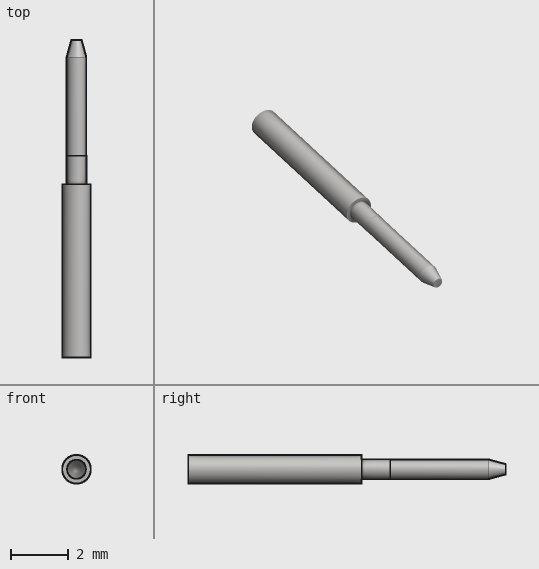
import cadquery as cq
import math

total_length = 11.0
socket_length = 6.01
neck_length = 0.99
tip_length = 0.6

socket_diameter = 1.0
pin_diameter = 0.69
neck_diameter = 0.7
tip_diameter = 0.36
bore_diameter = 0.66

bore_depth = 4.0
drill_point_angle = 118.0

pin_length = total_length - socket_length - neck_length - tip_length


def contact_body():
    """Revolve the stepped outline of socket, neck, pin and tapered tip about Y."""
    pin_start = socket_length + neck_length
    pin_end = pin_start + pin_length
    return (
        cq.Workplane("XY")
        .moveTo(0, 0)
        .lineTo(socket_diameter / 2, 0)
        .lineTo(socket_diameter / 2, socket_length)
        .lineTo(neck_diameter / 2, socket_length)
        .lineTo(neck_diameter / 2, pin_start)
        .lineTo(pin_diameter / 2, pin_start)
        .lineTo(pin_diameter / 2, pin_end)
        .lineTo(tip_diameter / 2, total_length)
        .lineTo(0, total_length)
        .close()
        .revolve(360, (0, 0, 0), (0, 1, 0))
    )


def socket_bore():
    """Revolve the drilled hole, including its conical bottom, about Y."""
    bore_radius = bore_diameter / 2
    point_depth = bore_radius / math.tan(math.radians(drill_point_angle / 2))
    return (
        cq.Workplane("XY")
        .moveTo(0, 0)
        .lineTo(bore_radius, 0)
        .lineTo(bore_radius, bore_depth)
        .lineTo(0, bore_depth + point_depth)
        .close()
        .revolve(360, (0, 0, 0), (0, 1, 0))
    )


result = contact_body().cut(socket_bore())